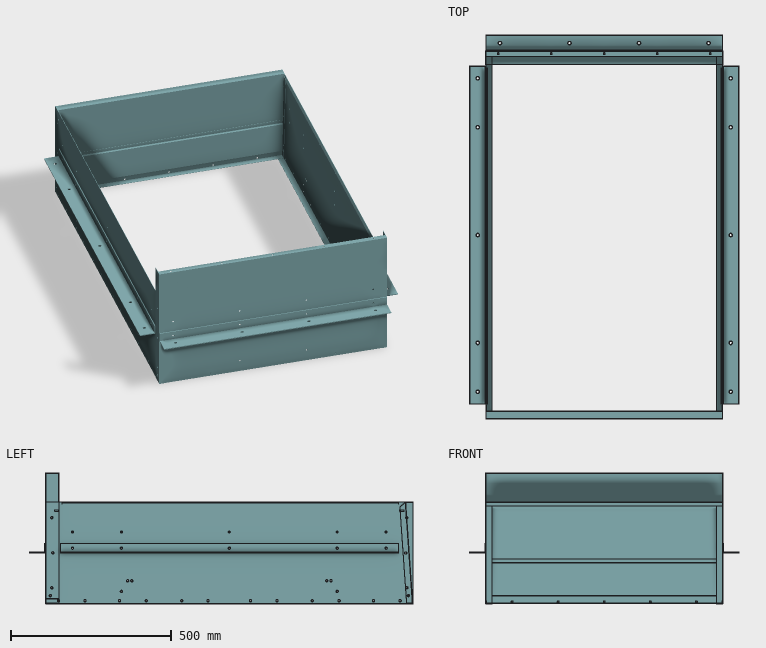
import cadquery as cq
import math


overall_width = 835.88
overall_length = 1192.18
overall_height = 406.57
sheet = 1.2
side_height = 317.0
angle_reach = 50.0

side_outer = overall_width / 2 - angle_reach
side_inner = side_outer - sheet
rear_outer = overall_length - angle_reach
rear_inner = rear_outer - sheet
mid_length = rear_outer / 2
sheet_top_level = 2 * sheet

angle_thickness = 3.0
angle_leg_height = 30.0
angle_bottom = 158.5
side_angle_length = 1050.0
angle_hole_diameter = 10.0
angle_row_z = angle_bottom + angle_leg_height / 2
side_angle_hole_offsets = [-487.0, -335.0, 0.0, 335.0, 487.0]
rear_angle_hole_pitch = 216.0
rear_angle_hole_xs = [rear_angle_hole_pitch * step for step in (-1.5, -0.5, 0.5, 1.5)]

bolt_hole_diameter = 6.0
small_hole_diameter = 5.0
upper_row_z = angle_row_z + 50.0
bracket_hole_z = 39.0

side_flange = 20.0
side_flange_chamfer = 10.0
top_lip_length = 10.5
top_lip_tilt = math.radians(22.5)
top_lip_front = 46.0
top_lip_rear = rear_outer - 52.0
bottom_row_z = 10.0
bottom_row_offsets = [66.0, 148.0, 258.0, 341.0, 448.0, 530.5]
bracket_pair_z = 72.0
bracket_pair_offsets = [302.5, 316.0]
bracket_hole_offset = 335.0
end_holes = [(23.0, 158.5), (20.0, 50.0), (20.0, 268.0), (15.0, 26.0)]
end_slot_length = 14.0
end_slot_height = 5.0
end_slot_from_end = 35.0
end_slot_z = 290.0

rear_flange = 42.0
rear_top_flange = 17.0
corner_slit = 0.5
corner_slit_z = 16.0
rear_bottom_hole_offset = 202.0
rear_top_hole_pitch = 164.6
rear_top_hole_from_back = 7.5

front_slope = math.tan(math.radians(4.0))
front_lip = 12.5
front_flange = 19.0
front_corner_cut = 16.0
front_hole_pitch = 143.0
front_hole_z = 6.5

stiffener_top = 139.5
stiffener_lip = 12.0
stiffener_bottom = 25.5
stiffener_depth = 10.0
stiffener_end_gap = 2.0


def box(x0, x1, y0, y1, z0, z1):
    """Block between two opposite corners."""
    return cq.Workplane("XY").box(x1 - x0, y1 - y0, z1 - z0, centered=False).translate((x0, y0, z0))


def extrude_along_x(points, x0, x1):
    """Outline of (y, z) points, extruded from x0 to x1."""
    return cq.Workplane("YZ").polyline(points).close().extrude(x1 - x0).translate((x0, 0, 0))


def extrude_along_y(points, y0, y1):
    """Outline of (x, z) points, extruded from y0 to y1."""
    return cq.Workplane("XZ").polyline(points).close().extrude(y0 - y1).translate((0, y0, 0))


def x_drills(places, diameter, x0, x1):
    """Cylinders along X at (y, z) places."""
    return cq.Workplane("YZ").pushPoints(places).circle(diameter / 2).extrude(x1 - x0).translate((x0, 0, 0))


def y_drills(places, diameter, y0, y1):
    """Cylinders along Y at (x, z) places."""
    return cq.Workplane("XZ").pushPoints(places).circle(diameter / 2).extrude(y0 - y1).translate((0, y0, 0))


def z_drills(places, diameter, z0, z1):
    """Cylinders along Z at (x, y) places."""
    return cq.Workplane("XY").pushPoints(places).circle(diameter / 2).extrude(z1 - z0).translate((0, 0, z0))


def mirrored_in_x(body):
    return body.mirror("YZ")


def both_ends(offsets):
    """Y places at equal offsets ahead of and behind mid-length."""
    return [mid_length + sign * offset for offset in offsets for sign in (-1, 1)]


def end_hole_places(ends):
    """Holes where the side panels are fixed to the front and rear panels."""
    places = []
    if "front" in ends:
        places += [(distance, z) for distance, z in end_holes]
    if "rear" in ends:
        places += [(rear_outer - distance, z) for distance, z in end_holes]
    return places


def make_left_side():
    wall = box(-side_outer, -side_inner, 0, rear_inner, 0, side_height)
    flange_edge = side_flange - side_outer

    bottom_flange = box(-side_outer, flange_edge, 0, rear_inner, 0, sheet)
    front_top = side_height - front_lip
    front_flange_plate = box(-side_outer, flange_edge, 0, sheet, 0, front_top)

    rear_flange_outline = [
        (-side_outer, sheet_top_level),
        (flange_edge, sheet_top_level),
        (flange_edge, side_height - side_flange_chamfer),
        (flange_edge - side_flange_chamfer, side_height),
        (-side_outer, side_height),
    ]
    rear_flange_plate = extrude_along_y(rear_flange_outline, rear_inner - sheet, rear_inner)

    lip_run = top_lip_length * math.sin(top_lip_tilt)
    lip_drop = top_lip_length * math.cos(top_lip_tilt)
    lip_tip = (lip_run - side_inner, side_height - lip_drop)
    lip_outline = [
        (-side_outer, side_height),
        (-side_inner, side_height),
        lip_tip,
        (lip_tip[0] - sheet * math.cos(top_lip_tilt), lip_tip[1] - sheet * math.sin(top_lip_tilt)),
        (-side_inner, side_height - sheet / math.sin(top_lip_tilt)),
        (-side_outer, side_height - sheet / math.sin(top_lip_tilt)),
    ]
    top_lip = extrude_along_y(lip_outline, top_lip_front, top_lip_rear)

    bolt_places = [(mid_length + offset, angle_row_z) for offset in side_angle_hole_offsets]
    bolt_places += [(y, bottom_row_z) for y in both_ends(bottom_row_offsets)]
    bolt_places += [(y, bracket_pair_z) for y in both_ends(bracket_pair_offsets)]
    bolt_places += [(y, bracket_hole_z) for y in both_ends([bracket_hole_offset])]
    bolt_places += end_hole_places(["front", "rear"])
    upper_places = [(mid_length + offset, upper_row_z) for offset in side_angle_hole_offsets]
    slot_places = [(end_slot_from_end, end_slot_z), (rear_outer - end_slot_from_end, end_slot_z)]
    slots = (
        cq.Workplane("YZ")
        .pushPoints(slot_places)
        .slot2D(end_slot_length, end_slot_height)
        .extrude(sheet)
        .translate((-side_outer, 0, 0))
    )

    panel = wall.union(bottom_flange).union(front_flange_plate).union(rear_flange_plate).union(top_lip)
    panel = panel.cut(x_drills(bolt_places, bolt_hole_diameter, -side_outer, -side_inner))
    panel = panel.cut(x_drills(upper_places, small_hole_diameter, -side_outer, -side_inner))
    return panel.cut(slots)


def make_rear_panel():
    outer = side_outer + sheet
    flange_front = rear_outer - rear_flange
    back = box(-outer, outer, rear_inner, rear_outer, sheet, overall_height)
    top_flange = box(
        -outer, outer, rear_outer - rear_top_flange, rear_outer, overall_height - sheet, overall_height
    )
    bottom_flange = box(-side_inner, side_inner, flange_front, rear_outer, sheet, sheet_top_level)
    panel = back.union(top_flange).union(bottom_flange)

    left_flange = box(-outer, -side_outer, flange_front, rear_outer, sheet, overall_height)
    slit_top = corner_slit_z + corner_slit
    left_flange = left_flange.cut(
        box(-outer, -side_outer, flange_front, rear_inner, corner_slit_z, slit_top)
    )
    left_flange = left_flange.cut(
        x_drills(end_hole_places(["rear"]), bolt_hole_diameter, -outer, -side_outer)
    )
    panel = panel.union(left_flange).union(mirrored_in_x(left_flange))

    bolt_places = [(x, angle_row_z) for x in rear_angle_hole_xs]
    small_places = [(x, upper_row_z) for x in rear_angle_hole_xs]
    small_places += [(x, bracket_hole_z) for x in rear_angle_hole_xs[1:3]]
    bolt_places += [(x, bottom_row_z) for x in (-rear_bottom_hole_offset, rear_bottom_hole_offset)]
    panel = panel.cut(y_drills(bolt_places, bolt_hole_diameter, rear_inner, rear_outer))
    panel = panel.cut(y_drills(small_places, small_hole_diameter, rear_inner, rear_outer))

    top_places = [
        (rear_top_hole_pitch * step, rear_outer - rear_top_hole_from_back) for step in range(-2, 3)
    ]
    return panel.cut(z_drills(top_places, bolt_hole_diameter, overall_height - sheet, overall_height))


def front_face_y(z):
    """Y of the outer face of the sloping front sheet."""
    return sheet + z * front_slope


def front_back_y(z):
    """Y of the inner face of the sloping front sheet."""
    return front_face_y(z) + sheet


def make_front_panel():
    top_under = side_height - sheet
    flange_top = side_height - front_corner_cut

    profile = [
        (0, side_height),
        (0, side_height - front_lip),
        (sheet, side_height - front_lip),
        (sheet, top_under),
        (front_face_y(top_under), top_under),
        (front_face_y(sheet), sheet),
        (front_face_y(sheet) + front_flange, sheet),
        (front_face_y(sheet) + front_flange, sheet_top_level),
        (front_back_y(sheet_top_level), sheet_top_level),
        (front_back_y(side_height), side_height),
    ]
    panel = extrude_along_x(profile, -side_inner, side_inner)

    flange_outline = [
        (front_face_y(sheet), sheet),
        (front_face_y(sheet) + front_flange, sheet),
        (front_face_y(flange_top) + front_flange, flange_top),
        (front_back_y(top_under), top_under),
        (front_face_y(top_under), top_under),
    ]
    left_flange = extrude_along_x(flange_outline, -side_inner, sheet - side_inner)
    left_flange = left_flange.cut(
        x_drills(end_hole_places(["front"]), bolt_hole_diameter, -side_inner, sheet - side_inner)
    )
    panel = panel.union(left_flange).union(mirrored_in_x(left_flange))

    hole_places = [(front_hole_pitch * step, front_hole_z) for step in range(-2, 3)]
    return panel.cut(y_drills(hole_places, bolt_hole_diameter, 0, front_back_y(2 * front_hole_z)))


def make_front_stiffener():
    """Bent strip whose upper lip and lower edge rest on the back of the front sheet."""
    lip_bottom = stiffener_top - stiffener_lip
    web_top = lip_bottom + sheet
    return_top = stiffener_bottom + sheet
    back = stiffener_depth
    profile = [
        (front_back_y(stiffener_top), stiffener_top),
        (front_back_y(lip_bottom), lip_bottom),
        (front_back_y(lip_bottom) + back - sheet, lip_bottom),
        (front_back_y(return_top) + back - sheet, return_top),
        (front_back_y(return_top), return_top),
        (front_back_y(stiffener_bottom), stiffener_bottom),
        (front_back_y(stiffener_bottom) + back, stiffener_bottom),
        (front_back_y(web_top) + back, web_top),
        (front_back_y(web_top) + sheet, web_top),
        (front_back_y(stiffener_top) + sheet, stiffener_top),
    ]
    half_width = side_inner - sheet - stiffener_end_gap
    return extrude_along_x(profile, -half_width, half_width)


def make_left_angle():
    y0 = mid_length - side_angle_length / 2
    y1 = mid_length + side_angle_length / 2
    tip = -side_outer - angle_reach
    leg_outer = -side_outer - angle_thickness
    shelf = box(tip, -side_outer, y0, y1, angle_bottom, angle_bottom + angle_thickness)
    leg = box(leg_outer, -side_outer, y0, y1, angle_bottom, angle_bottom + angle_leg_height)
    ys = [mid_length + offset for offset in side_angle_hole_offsets]
    shelf_x = -side_outer - angle_reach / 2
    shelf_places = [(shelf_x, y) for y in ys]
    leg_places = [(y, angle_row_z) for y in ys]
    angle = shelf.union(leg)
    angle = angle.cut(
        z_drills(shelf_places, angle_hole_diameter, angle_bottom, angle_bottom + angle_thickness)
    )
    return angle.cut(x_drills(leg_places, bolt_hole_diameter, leg_outer, -side_outer))


def make_rear_angle():
    half_width = side_outer
    leg_outer = rear_outer + angle_thickness
    shelf_top = angle_bottom + angle_thickness
    shelf = box(-half_width, half_width, rear_outer, overall_length, angle_bottom, shelf_top)
    leg = box(-half_width, half_width, rear_outer, leg_outer, angle_bottom, angle_bottom + angle_leg_height)
    shelf_places = [(x, rear_outer + angle_reach / 2) for x in rear_angle_hole_xs]
    leg_places = [(x, angle_row_z) for x in rear_angle_hole_xs]
    angle = shelf.union(leg)
    angle = angle.cut(z_drills(shelf_places, angle_hole_diameter, angle_bottom, shelf_top))
    return angle.cut(y_drills(leg_places, bolt_hole_diameter, rear_outer, leg_outer))


left_side = make_left_side()
right_side = mirrored_in_x(left_side)
rear_panel = make_rear_panel()
front_panel = make_front_panel()
front_stiffener = make_front_stiffener()
left_angle = make_left_angle()
right_angle = mirrored_in_x(left_angle)
rear_angle = make_rear_angle()

result = cq.Compound.makeCompound(
    [
        left_side.val(),
        right_side.val(),
        rear_panel.val(),
        front_panel.val(),
        front_stiffener.val(),
        left_angle.val(),
        right_angle.val(),
        rear_angle.val(),
    ]
)